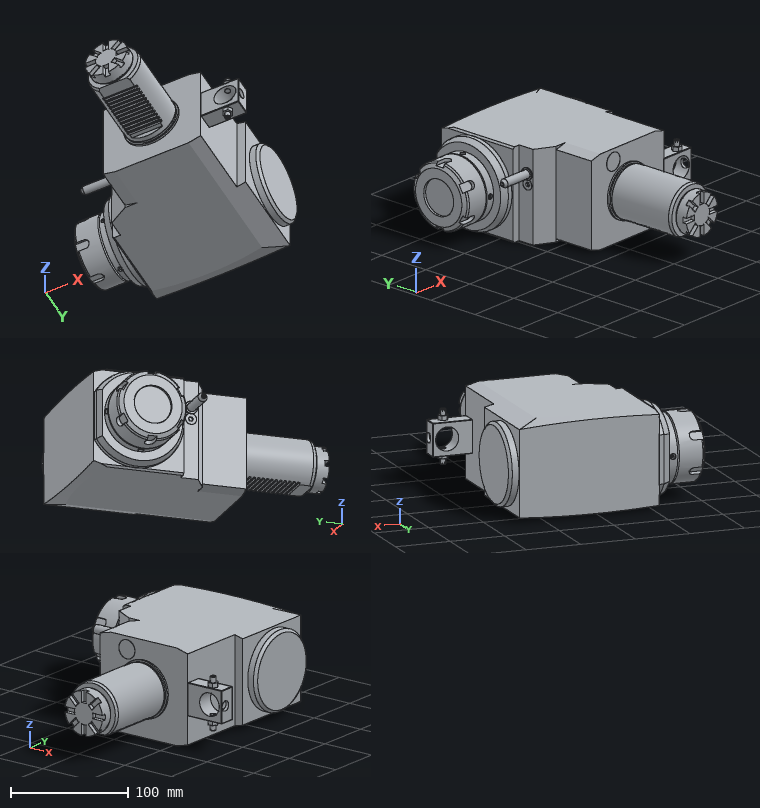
import cadquery as cq
import math


half_height = 44.0
body_length = 147.5
overall_length = 232.0
head_front_y = 66.0
head_left_x = -72.9
head_right_x = 55.4
shoulder_left_x = -65.2
shoulder_front_y = 50.2
foot_half_width = 47.0
foot_notch_y = 40.0
edge_chamfer = 1.8
slope_angle = 14.3
slope_start_x = 35.3
foot_bevel_width = 11.7
foot_bevel_drop = 3.0
crown_x = -18.0
crown_radius = 274.0
crown_rear_gap = 7.5
crown_angle = 16.5
port_x = -18.4
port_z = 32.0
port_radius = 8.6
seat_depth = 0.2

spindle_y = 110.0
flange_left_x = -83.8
flange_bevel_x = -77.4
flange_radius = 42.6
flange_bevel = 3.2
flange_flat_y = 146.6
collar_left_x = -92.1
nut_right_x = -93.6
nut_left_x = -119.0
nut_radius = 31.5
neck_radius = 25.5
nut_face_radius = 26.3
nut_bevel_length = 2.3
nut_bevel_radius = 30.2
nut_edge_length = 1.6
nut_bore_radius = 17.0
nut_bore_depth = 2.5
slot_count = 6
slot_width = 8.0
slot_tip_x = -104.4
slot_floor_radius = 28.0
set_screw_count = 4
set_screw_x = -88.0
set_screw_radius = 2.5
set_screw_depth = 1.5
set_screw_socket_radius = 1.0
cap_right_x = 64.1
cap_radius = 36.8
cap_chamfer = 2.6

shank_radius = 25.0
shank_end_y = -71.4
shank_chamfer_length = 3.0
shank_chamfer_depth = 1.0
rim_radius = 26.2
rim_width = 1.8
relief_radius = 24.6
relief_end_y = -3.8
flat_z = -20.2
flat_start_y = -8.7
rack_pitch = 4.0
rack_groove_count = 12
rack_first_y = -14.0
rack_depth = 1.5
rack_groove_width = 2.8
rack_floor_width = 1.6
coupling_radius = 20.2
coupling_neck_radius = 19.0
coupling_neck_width = 1.8
coupling_end_y = body_length - overall_length
coupling_hub_radius = 9.9
coupling_slot_count = 8
coupling_slot_width = 5.0
coupling_slot_depth = 4.0

nozzle_y = 56.7
nozzle_z = 20.0
nozzle_radius = 4.0
nozzle_tip_x = -97.7
nozzle_tip_radius = 2.1
nozzle_tip_length = 3.0
nozzle_hole_radius = 1.2
nozzle_collar_radius = 5.6
nozzle_collar_width = 1.2
plug_z = 10.0
plug_radius = 5.0
plug_socket_size = 3.6
socket_depth = 2.0

bracket_right_x = 83.1
bracket_front_y = 0.6
bracket_rear_y = 15.9
bracket_half_height = 15.0
bracket_chamfer = 0.5
clamp_x = 69.9
clamp_radius = 10.5
screw_y = 5.8
screw_radius = 2.5
screw_top_z = 24.4
screw_inner_z = 10.0
screw_chamfer = 0.5
screw_socket_size = 2.5
hex_nut_size = 8.0
hex_nut_height = 4.0
side_hole_radius = 4.5


def box(x_range, y_range, z_range):
    """Box between the given limits."""
    sizes = [limits[1] - limits[0] for limits in (x_range, y_range, z_range)]
    corner = (x_range[0], y_range[0], z_range[0])
    return cq.Workplane("XY").box(*sizes, centered=False).translate(corner)


def rod(start, direction, length, radius):
    """Cylinder from a start point along a direction."""
    return cq.Workplane(cq.Solid.makeCylinder(radius, length, cq.Vector(*start), cq.Vector(*direction)))


def turned_along_x(profile, y, z=0):
    """Solid of revolution about an X-parallel axis; profile holds (x, radius) pairs."""
    outline = [(profile[0][0], 0), *profile, (profile[-1][0], 0)]
    return cq.Workplane("XY", origin=(0, y, z)).polyline(outline).close().revolve(360, (0, 0), (1, 0))


def turned_along_y(profile):
    """Solid of revolution about the shank axis; profile holds (radius, y) pairs."""
    outline = [(0, profile[0][1]), *profile, (0, profile[-1][1])]
    return cq.Workplane("XY").polyline(outline).close().revolve(360, (0, 0), (0, 1))


def across_corners(across_flats):
    """Width across the corners of a hexagon."""
    return across_flats / math.cos(math.pi / 6)


def make_housing():
    plan = [
        (-foot_half_width, 0),
        (foot_half_width, 0),
        (foot_half_width, head_front_y),
        (head_right_x, head_front_y),
        (head_right_x, body_length),
        (head_left_x, body_length),
        (head_left_x, head_front_y),
        (shoulder_left_x, head_front_y),
        (shoulder_left_x, shoulder_front_y),
        (-foot_half_width, foot_notch_y),
    ]
    housing = cq.Workplane("XY").polyline(plan).close().extrude(half_height, both=True)

    slope_drop = (head_right_x - slope_start_x) * math.tan(math.radians(slope_angle))
    upper_section = [
        (head_left_x, half_height - edge_chamfer),
        (head_left_x + edge_chamfer, half_height),
        (slope_start_x, half_height),
        (head_right_x, half_height - slope_drop),
    ]
    section = upper_section + [(x, -z) for x, z in reversed(upper_section)]
    housing = housing.intersect(cq.Workplane("XZ").polyline(section).close().extrude(-body_length))
    return housing.intersect(make_crown()).cut(make_foot_bevels())


def make_crown():
    """Double cone about a vertical axis that bevels the rear edges of the housing."""
    middle_radius = crown_radius + half_height / math.tan(math.radians(crown_angle))
    profile = [
        (0, -half_height),
        (crown_radius, -half_height),
        (middle_radius, 0),
        (crown_radius, half_height),
        (0, half_height),
    ]
    crown_y = body_length - crown_rear_gap - crown_radius
    crown = cq.Workplane("XZ").polyline(profile).close().revolve(360, (0, 0), (0, 1))
    return crown.translate((crown_x, crown_y, 0))


def make_foot_bevels():
    left = -foot_half_width
    triangle = [
        (left, half_height - foot_bevel_drop),
        (left + foot_bevel_width, half_height),
        (left, half_height),
    ]
    bevel = cq.Workplane("XZ").polyline(triangle).close().extrude(-foot_notch_y)
    return bevel.union(bevel.mirror("XY"))


def make_flange():
    face_radius = flange_radius - flange_bevel
    profile = [
        (flange_left_x, face_radius),
        (flange_bevel_x, flange_radius),
        (head_left_x, flange_radius),
    ]
    flat_outline = [
        (flange_left_x, flange_flat_y - flange_bevel),
        (flange_bevel_x, flange_flat_y),
        (head_left_x, flange_flat_y),
        (head_left_x, spindle_y + flange_radius),
        (flange_left_x, spindle_y + flange_radius),
    ]
    flat = cq.Workplane("XY").polyline(flat_outline).close().extrude(flange_radius, both=True)
    return turned_along_x(profile, spindle_y).cut(flat)


def make_nut():
    profile = [
        (nut_left_x, nut_face_radius),
        (nut_left_x + nut_bevel_length, nut_bevel_radius),
        (nut_left_x + nut_bevel_length + nut_edge_length, nut_radius),
        (nut_right_x, nut_radius),
        (nut_right_x, neck_radius),
        (collar_left_x, neck_radius),
        (collar_left_x, nut_radius),
        (flange_left_x, nut_radius),
    ]
    nut = turned_along_x(profile, spindle_y)
    nut = nut.cut(rod((nut_left_x, spindle_y, 0), (1, 0, 0), nut_bore_depth, nut_bore_radius))
    axis = ((0, spindle_y, 0), (1, spindle_y, 0))

    slot_half = slot_width / 2
    slot_end_x = slot_tip_x - slot_half
    slot_y = (spindle_y - slot_half, spindle_y + slot_half)
    slot = box((nut_left_x, slot_end_x), slot_y, (slot_floor_radius, nut_radius))
    slot_height = nut_radius - slot_floor_radius
    slot = slot.union(rod((slot_end_x, spindle_y, slot_floor_radius), (0, 0, 1), slot_height, slot_half))
    for index in range(slot_count):
        nut = nut.cut(slot.rotate(*axis, index * 360 / slot_count))

    seat_z = nut_radius - set_screw_depth
    seat = rod((set_screw_x, spindle_y, seat_z), (0, 0, 1), 2 * set_screw_depth, set_screw_radius)
    socket_start = (set_screw_x, spindle_y, seat_z - socket_depth)
    seat = seat.union(rod(socket_start, (0, 0, 1), 2 * socket_depth, set_screw_socket_radius))
    for index in range(set_screw_count):
        nut = nut.cut(seat.rotate(*axis, index * 360 / set_screw_count))
    return nut


def make_cap():
    profile = [
        (head_right_x, cap_radius),
        (cap_right_x - cap_chamfer, cap_radius),
        (cap_right_x, cap_radius - cap_chamfer),
    ]
    return turned_along_x(profile, spindle_y)


def make_shank():
    coupling_start_y = shank_end_y - coupling_neck_width
    profile = [
        (rim_radius, 0),
        (rim_radius, -rim_width),
        (relief_radius, -rim_width),
        (relief_radius, relief_end_y),
        (shank_radius, relief_end_y),
        (shank_radius, shank_end_y + shank_chamfer_length),
        (shank_radius - shank_chamfer_depth, shank_end_y),
        (coupling_neck_radius, shank_end_y),
        (coupling_neck_radius, coupling_start_y),
        (coupling_radius, coupling_start_y),
        (coupling_radius, coupling_end_y),
    ]
    shank = turned_along_y(profile)
    across = (-shank_radius, shank_radius)
    shank = shank.cut(box(across, (shank_end_y, flat_start_y), (-shank_radius, flat_z)))
    return shank.cut(make_rack_grooves()).cut(make_coupling_slots())


def make_rack_grooves():
    """Tapered grooves across the clamping flat of the shank."""
    half_width = rack_groove_width / 2
    half_floor = rack_floor_width / 2
    floor_z = flat_z + rack_depth
    grooves = cq.Workplane("YZ")
    for index in range(rack_groove_count):
        y = rack_first_y - index * rack_pitch
        outline = [
            (y - half_width, flat_z),
            (y + half_width, flat_z),
            (y + half_floor, floor_z),
            (y - half_floor, floor_z),
        ]
        grooves = grooves.polyline(outline).close()
    return grooves.extrude(shank_radius, both=True)


def make_coupling_slots():
    """Radial slots between the coupling teeth, stopping at the central hub."""
    half_width = coupling_slot_width / 2
    y_range = (coupling_end_y, coupling_end_y + coupling_slot_depth)
    slot = box((0, coupling_radius), y_range, (-half_width, half_width))
    slots = slot
    for index in range(1, coupling_slot_count):
        slots = slots.union(slot.rotate((0, 0, 0), (0, 1, 0), index * 360 / coupling_slot_count))
    hub = rod((0, coupling_end_y, 0), (0, 1, 0), coupling_slot_depth, coupling_hub_radius)
    return slots.cut(hub)


def make_nozzle():
    profile = [
        (nozzle_tip_x, nozzle_tip_radius),
        (nozzle_tip_x + nozzle_tip_length, nozzle_radius),
        (shoulder_left_x - nozzle_collar_width, nozzle_radius),
        (shoulder_left_x - nozzle_collar_width, nozzle_collar_radius),
        (shoulder_left_x, nozzle_collar_radius),
    ]
    nozzle = turned_along_x(profile, nozzle_y, nozzle_z)
    return nozzle.cut(rod((nozzle_tip_x, nozzle_y, nozzle_z), (1, 0, 0), socket_depth, nozzle_hole_radius))


def make_seats():
    """Shallow seats of the shoulder plug and the front port, with the plug's hexagon socket."""
    plug_start = (shoulder_left_x, nozzle_y, plug_z)
    seats = rod(plug_start, (1, 0, 0), seat_depth, plug_radius)
    socket_plane = cq.Workplane("YZ", origin=plug_start)
    socket = socket_plane.polygon(6, across_corners(plug_socket_size)).extrude(socket_depth)
    port = rod((port_x, 0, port_z), (0, 1, 0), seat_depth, port_radius)
    return seats.union(socket).union(port)


def make_bracket():
    height = (-bracket_half_height, bracket_half_height)
    depth = (bracket_front_y, bracket_rear_y)
    bracket = box((foot_half_width, bracket_right_x), depth, height)
    bracket = bracket.faces(">X or >Z or <Z or >Y or <Y").edges("not(<X)").chamfer(bracket_chamfer)
    bore_depth = bracket_rear_y - bracket_front_y
    bracket = bracket.cut(rod((clamp_x, bracket_front_y, 0), (0, 1, 0), bore_depth, clamp_radius))
    wall = bracket_right_x - clamp_x
    bracket = bracket.cut(rod((clamp_x, screw_y, 0), (1, 0, 0), wall, side_hole_radius))
    screw = make_clamp_screw()
    return bracket.union(screw).union(screw.mirror("XY"))


def make_clamp_screw():
    """Upper clamp screw with its socket and lock nut."""
    screw_length = screw_top_z - screw_inner_z
    screw = rod((clamp_x, screw_y, screw_inner_z), (0, 0, 1), screw_length, screw_radius)
    screw = screw.faces(">Z").chamfer(screw_chamfer)
    socket_plane = cq.Workplane("XY", origin=(clamp_x, screw_y, screw_top_z - socket_depth))
    screw = screw.cut(socket_plane.polygon(6, across_corners(screw_socket_size)).extrude(socket_depth))
    nut_plane = cq.Workplane("XY", origin=(clamp_x, screw_y, bracket_half_height))
    return screw.union(nut_plane.polygon(6, across_corners(hex_nut_size)).extrude(hex_nut_height))


result = make_housing()
for feature in (make_flange(), make_nut(), make_cap(), make_shank(), make_nozzle(), make_bracket()):
    result = result.union(feature)
result = result.cut(make_seats())